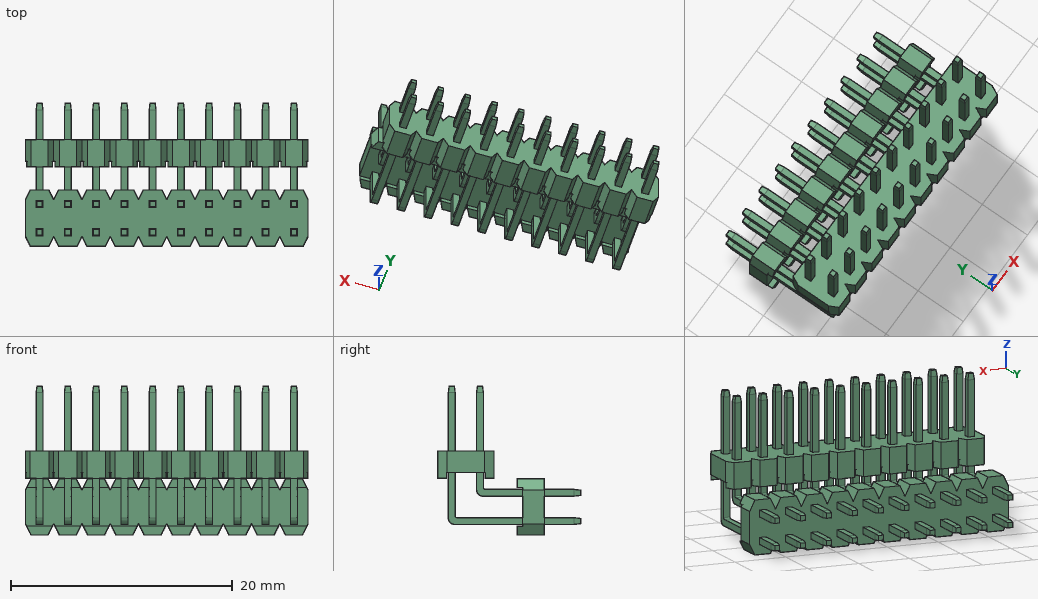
import cadquery as cq


pitch = 2.55
columns = 10
rows = 2
length = pitch * columns
carrier_width = pitch * rows

web_thickness = 1.95
rail_thickness = 2.46
rail_width = 0.81
upper_face_z = 5.03
lower_face_y = 7.05
upper_notch_depth = 0.86
upper_notch_half_width = 0.43
lower_notch_depth = 1.02
lower_notch_half_width = 0.5

pin_size = 0.64
pin_top_z = 10.85
pin_end_y = 10.35
tip_size = 0.48
top_tip_length = 0.55
end_tip_length = 0.64
bend_outer_radius = 0.58
bend_inner_radius = 0.13

column_positions = [pitch * (i - (columns - 1) / 2) for i in range(columns)]


def carrier(notch_depth, notch_half_width):
    """Notched carrier with its flat outer face on Z = 0 and its rails pointing down."""
    half_width = carrier_width / 2
    channel_width = carrier_width - 2 * rail_width
    channel_depth = rail_thickness - web_thickness
    body = (
        cq.Workplane("XY")
        .box(length, carrier_width, rail_thickness, centered=(True, True, False))
        .translate((0, 0, -rail_thickness))
    )
    channel = (
        cq.Workplane("XY")
        .box(length, channel_width, channel_depth, centered=(True, True, False))
        .translate((0, 0, -rail_thickness))
    )
    body = body.cut(channel)

    for i in range(columns + 1):
        x = pitch * (i - columns / 2)
        for side in (-1, 1):
            notch = (
                cq.Workplane("XY")
                .polyline([
                    (x - notch_half_width, side * half_width),
                    (x + notch_half_width, side * half_width),
                    (x, side * (half_width - notch_depth)),
                ])
                .close()
                .extrude(-rail_thickness)
            )
            body = body.cut(notch)
    return body


def tapered_tip(plane, tip_length):
    """Square tip narrowing along the normal of the plane it starts on."""
    return (
        cq.Workplane(plane)
        .rect(pin_size, pin_size)
        .workplane(offset=tip_length)
        .rect(tip_size, tip_size)
        .loft()
    )


def bent_pin(offset):
    """L-shaped pin at X = 0 whose legs run along Y = offset and Z = offset."""
    half = pin_size / 2
    shoulder_z = pin_top_z - top_tip_length
    shoulder_y = pin_end_y - end_tip_length
    low = offset - half
    high = offset + half
    legs = (
        cq.Workplane("YZ")
        .polyline([
            (low, low),
            (shoulder_y, low),
            (shoulder_y, high),
            (high, high),
            (high, shoulder_z),
            (low, shoulder_z),
        ])
        .close()
        .extrude(half, both=True)
    )
    outer_corner = cq.selectors.NearestToPointSelector((0, low, low))
    inner_corner = cq.selectors.NearestToPointSelector((0, high, high))
    legs = legs.edges("|X").edges(outer_corner).fillet(bend_outer_radius)
    legs = legs.edges("|X").edges(inner_corner).fillet(bend_inner_radius)

    top_tip = tapered_tip(cq.Plane((0, offset, shoulder_z), xDir=(1, 0, 0), normal=(0, 0, 1)), top_tip_length)
    end_tip = tapered_tip(cq.Plane((0, shoulder_y, offset), xDir=(1, 0, 0), normal=(0, 1, 0)), end_tip_length)
    return legs.union(top_tip).union(end_tip)


upper_carrier = carrier(upper_notch_depth, upper_notch_half_width).translate((0, 0, upper_face_z))

lower_carrier = (
    carrier(lower_notch_depth, lower_notch_half_width)
    .rotate((0, 0, 0), (1, 0, 0), -90)
    .translate((0, lower_face_y, 0))
)

result = upper_carrier.union(lower_carrier)
for row in range(rows):
    pin = bent_pin(pitch * (row - (rows - 1) / 2))
    for x in column_positions:
        result = result.union(pin.translate((x, 0, 0)))